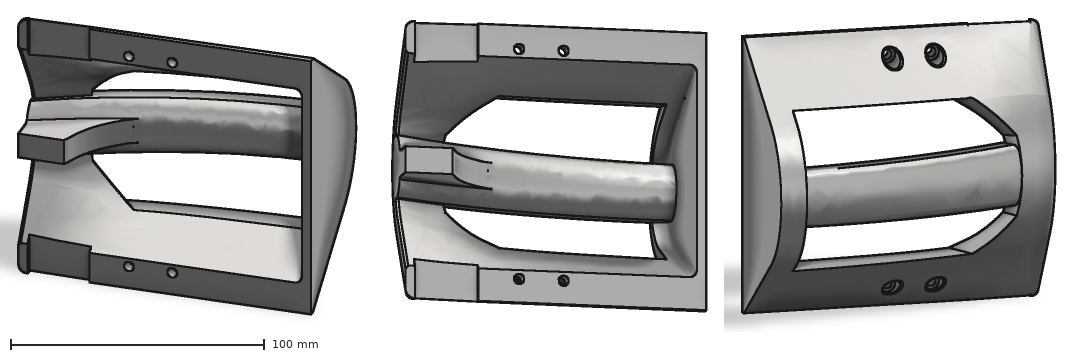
import cadquery as cq
import math

length = 121.5
height = 57.5
half_width = 55.6
lip_height_front = 2.0
lip_height_rear = 2.9

crown_radius = 252.7

outer_roof_radius_front = 54.7
outer_roof_radius_rear = 34.0
inner_roof_radius_front = 41.3
inner_roof_radius_rear = 28.0
roof_thickness_front = 7.2
roof_thickness_rear = 3.4
inner_half_width = 42.6
end_wall = 3.8
cavity_end_fillet = 3.0
nose_round = 3.6
mouth_bevel = 1.1

window_front = 29.5
shoulder_run = 13.6
window_rear = 110.8
window_half_width = 30.4
window_front_half_width = 14.6
window_base = 17.0
window_flare = 0.1
window_front_slope = 0.75

grip_half_width_front = 12.5
grip_half_width_rear = 11.2
grip_edge = 3.0
grip_edge_bulge = 0.5
grip_sink = 0.2
grip_crown_drop = 1.2
grip_edge_drop = 4.4
grip_side_depth = 10.9
grip_depth_front = 15.5
grip_depth_rear = 19.2

foot_half_width = 5.2
foot_length = 19.0
foot_heel = (20.0, 2.2)
foot_top_half_width = 7.4
foot_flare_start = 18.5
foot_flare_end = 14.8
foot_arc_middle = (28.0, 16.8)
foot_arc_end = (44.3, 29.2)
foot_overlap = 3.6

recess_front = 3.9
recess_rear = 29.5
recess_depth = 2.2
hole_positions = (45.9, 63.9)
hole_z = 46.2
hole_diameter = 4.0
counterbore_diameter = 6.8
counterbore_bevel = 0.7
counterbore_floor = 6.1

overrun = 6.1
arc_middle = math.sqrt(0.5)
loft_sections = 5
cavity_loft_sections = 4
foot_loft_sections = 3


def crown(x):
    """Height of the outer crown line at x."""
    return height - crown_radius + math.sqrt(crown_radius**2 - (length - x) ** 2)


def blend(front, rear, x):
    """Value that changes linearly from front (x = 0) to rear (x = length)."""
    return front + (rear - front) * x / length


def roof_radius(front, rear, x):
    """Radius that tightens quickly behind the nose and settles towards the rear."""
    return rear + (front - rear) * (1 - x / length) ** 3


def section_plane(x):
    """Workplane across the part: local x is global Y, local y is global Z."""
    return cq.Workplane("YZ", origin=(x, 0, 0))


def arched_section(x, half_base, upright, top, radius):
    """Wire with a flat base, short uprights, sloped flanks and a tangent round roof."""
    center = top - radius
    reach = center - upright
    distance = math.hypot(reach, half_base)
    angle = math.atan2(half_base, -reach) - math.acos(radius / distance)
    tangent_y = center + radius * math.cos(angle)
    tangent_z = radius * math.sin(angle)
    outline = section_plane(x).moveTo(0, -half_base)
    if upright > 0:
        outline = outline.lineTo(upright, -half_base)
    outline = outline.lineTo(tangent_y, -tangent_z).threePointArc((top, 0), (tangent_y, tangent_z))
    if upright > 0:
        outline = outline.lineTo(upright, half_base)
    return outline.lineTo(0, half_base).close().val()


def loft(wires):
    """Smooth solid through the given wires."""
    return cq.Workplane(cq.Solid.makeLoft(wires))


def stations(start, end, count):
    """Evenly spaced positions, both ends included."""
    return [start + (end - start) * i / (count - 1) for i in range(count)]


def outer_body():
    """Solid shape of the housing before rounding and hollowing."""
    wires = []
    for x in stations(0, length, loft_sections):
        radius = roof_radius(outer_roof_radius_front, outer_roof_radius_rear, x)
        lip = blend(lip_height_front, lip_height_rear, x)
        wires.append(arched_section(x, half_width, lip, crown(x), radius))
    return loft(wires)


def cavity_section(x, clearance=0.0):
    """Cavity wire at x, optionally enlarged all round by a clearance."""
    radius = roof_radius(inner_roof_radius_front, inner_roof_radius_rear, x)
    top = crown(x) - blend(roof_thickness_front, roof_thickness_rear, x)
    return arched_section(x, inner_half_width + clearance, 0, top + clearance, radius + clearance)


def cavity():
    """Hollow from the open front to the end wall."""
    return loft([cavity_section(x) for x in stations(0, length - end_wall, cavity_loft_sections)])


def mouth():
    """Bevel around the front opening of the cavity."""
    return loft([cavity_section(0, mouth_bevel), cavity_section(mouth_bevel)])


def window_outline(y, front, half_opening, front_half_opening):
    """Opening for both windows at height y, pointed towards the front."""
    return (
        cq.Workplane("XZ", origin=(0, y, 0))
        .moveTo(front, -front_half_opening)
        .lineTo(front + shoulder_run, -half_opening)
        .lineTo(window_rear, -half_opening)
        .lineTo(window_rear, half_opening)
        .lineTo(front + shoulder_run, half_opening)
        .lineTo(front, front_half_opening)
        .close()
        .val()
    )


def window():
    """Cutter for both windows; the grip is added back between them."""
    rise = height - window_base
    flare = rise * window_flare
    return loft(
        [
            window_outline(window_base, window_front, window_half_width, window_front_half_width),
            window_outline(
                height,
                window_front - rise * window_front_slope,
                window_half_width + flare,
                window_front_half_width + flare,
            ),
        ]
    )


def grip_section(x):
    """Grip wire: crowned top, rounded shoulders, flat sides and an oval underside."""
    half = blend(grip_half_width_front, grip_half_width_rear, x)
    top = crown(x) - grip_sink
    shoulder = half - grip_edge
    shoulder_y = top - grip_crown_drop
    side_top = top - grip_edge_drop
    side_bottom = top - grip_side_depth
    bottom = top - blend(grip_depth_front, grip_depth_rear, x)
    edge_mid_y = (shoulder_y + side_top) / 2 + grip_edge_bulge
    edge_mid_z = half - grip_edge / 2 + grip_edge_bulge
    belly_y = side_bottom + (bottom - side_bottom) * arc_middle
    belly_z = half * arc_middle
    return (
        section_plane(x)
        .moveTo(shoulder_y, -shoulder)
        .threePointArc((top, 0), (shoulder_y, shoulder))
        .threePointArc((edge_mid_y, edge_mid_z), (side_top, half))
        .lineTo(side_bottom, half)
        .threePointArc((belly_y, belly_z), (bottom, 0))
        .threePointArc((belly_y, -belly_z), (side_bottom, -half))
        .lineTo(side_top, -half)
        .threePointArc((edge_mid_y, -edge_mid_z), (shoulder_y, -shoulder))
        .close()
        .val()
    )


def grip():
    """Bar with rounded edges, from the nose to the end wall."""
    return loft([grip_section(x) for x in stations(0, length - end_wall, loft_sections)])


def foot_section(x):
    """Foot wire: parallel sides that flare out where they meet the grip."""
    top = crown(x)
    flare_y = top - foot_flare_start
    flare_end_y = top - foot_flare_end
    flare_middle_y = flare_y + (flare_end_y - flare_y) * arc_middle
    flare_middle_z = foot_top_half_width - (foot_top_half_width - foot_half_width) * arc_middle
    return (
        section_plane(x)
        .moveTo(0, -foot_half_width)
        .lineTo(flare_y, -foot_half_width)
        .threePointArc((flare_middle_y, -flare_middle_z), (flare_end_y, -foot_top_half_width))
        .lineTo(top, -foot_top_half_width)
        .lineTo(top, foot_top_half_width)
        .lineTo(flare_end_y, foot_top_half_width)
        .threePointArc((flare_middle_y, flare_middle_z), (flare_y, foot_half_width))
        .lineTo(0, foot_half_width)
        .close()
        .val()
    )


def foot():
    """Web from the base up into the grip, hollowed at the back for the fingers."""
    end_x, end_y = foot_arc_end
    side_profile = (
        cq.Workplane("XY")
        .moveTo(0, 0)
        .lineTo(foot_length, 0)
        .lineTo(*foot_heel)
        .threePointArc(foot_arc_middle, foot_arc_end)
        .lineTo(end_x, end_y + foot_overlap)
        .lineTo(0, crown(0) - foot_overlap)
        .close()
        .extrude(foot_top_half_width + overrun, both=True)
    )
    return loft([foot_section(x) for x in stations(0, end_x, foot_loft_sections)]).intersect(side_profile)


def rail_recess(side):
    """Shallow step in the base at the front end of a rail."""
    run = recess_rear - recess_front
    width = half_width + overrun - foot_half_width
    middle = side * (foot_half_width + width / 2)
    step = cq.Workplane("XY").box(run, recess_depth, width, centered=(False, False, True))
    return step.translate((recess_front, 0, middle))


def screw_hole(x, z):
    """Through hole with a counterbore opening on the sloped flank."""
    hole = cq.Workplane("XZ", origin=(x, 0, z)).circle(hole_diameter / 2).extrude(-height)
    counterbore = (
        cq.Workplane("XZ", origin=(x, counterbore_floor, z))
        .circle(counterbore_diameter / 2)
        .extrude(-height)
    )
    return hole.union(counterbore)


def counterbore_rim(body, x, z):
    """Edge where a counterbore breaks through the sloped flank."""
    reach = counterbore_diameter / 2
    around = cq.selectors.BoxSelector(
        (x - reach, counterbore_floor, z - reach),
        (x + reach, height, z + reach),
    )
    return body.edges(around).edges("%BSPLINE")


envelope = outer_body().faces("<X").edges("not <Y").fillet(nose_round)

body = envelope
for side in (-1, 1):
    for hole_x in hole_positions:
        hole_center_z = side * hole_z
        body = body.cut(screw_hole(hole_x, hole_center_z))
        body = counterbore_rim(body, hole_x, hole_center_z).chamfer(counterbore_bevel)

hollow = cavity().faces(">X").edges("not <Y").fillet(cavity_end_fillet)
body = body.cut(hollow).cut(mouth()).cut(window())

for side in (-1, 1):
    body = body.cut(rail_recess(side))

result = body.union(grip().intersect(envelope)).union(foot().intersect(envelope))